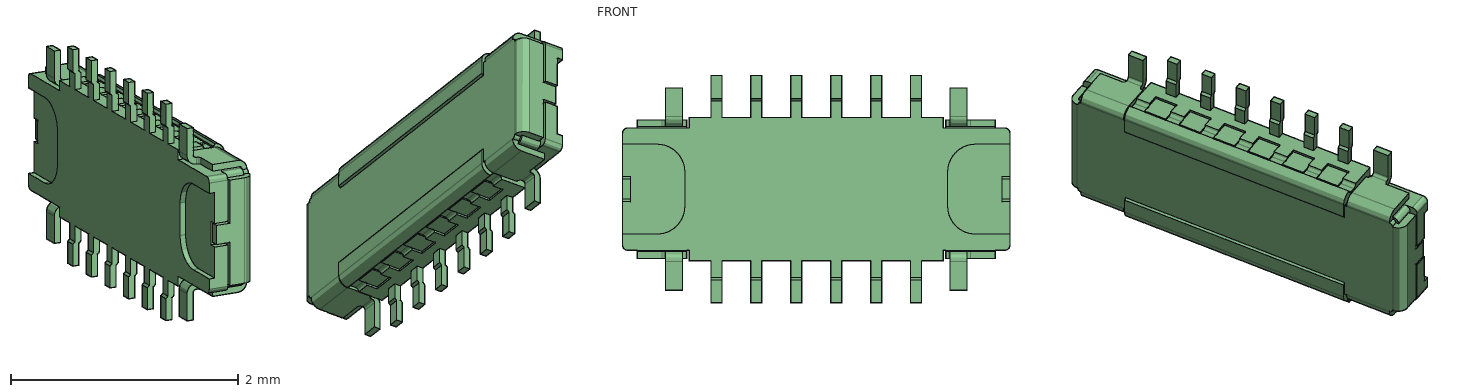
import cadquery as cq


LENGTH = 3.41
HALF_LENGTH = LENGTH / 2
SHELL_BACK = 0.445
HOOK_BACK = 0.46
SHEET = 0.06
BEND_RADIUS = 0.092
FOOT_PROUD = 0.02
FOOT_BACK = SHEET - FOOT_PROUD

HOUSING_HALF_HEIGHT = 0.54
FLANGE_DEPTH = 0.185
FLANGE_CORNER_RADIUS = 0.048
BODY_CORNER_RADIUS = 0.05
END_THICKNESS = 0.07
BODY_HALF_LENGTH = HALF_LENGTH - END_THICKNESS
RECESS_LENGTH = 0.55
RECESS_HALF_HEIGHT = 0.395
RECESS_RADIUS = 0.245
RECESS_DEPTH = 0.055
NOTCH_HALF_HEIGHT = 0.11

END_HALF_HEIGHT = 0.488
END_EDGE = 0.205
TONGUE_HALF_HEIGHT = 0.09
TONGUE_FRONT = 0.07
RELIEF_RADIUS = 0.03

PLATE_OUTER = 1.575
PLATE_INNER = 1.14
PLATE_EDGE = 0.102
PLATE_HALF_HEIGHT = 0.61
HOLD_FOOT_X = 1.25
HOLD_FOOT_WIDTH = 0.15
HOLD_FOOT_TIP = 0.89
FOOT_INNER_BEND = 0.027
NECK_RADIUS = 0.03

BLOCK_HALF_LENGTH = 1.12
BLOCK_HALF_HEIGHT = 0.63
HOOK_TIP = 0.382
GROOVE_HALF_HEIGHT = 0.597
GROOVE_FRONT = 0.25
GROOVE_COVE = 0.035
GROOVE_BACK = 0.348
LIP_BACK = HOOK_BACK - BEND_RADIUS
PAD_HALF_HEIGHT = 0.61
PAD_FRONT = 0.143
PAD_BACK = 0.338
PAD_WIDTH = 0.215

CONTACTS_PER_ROW = 6
PITCH = 0.35
PIN_WIDTH = 0.1
TIP_TO_TIP = 2.0
PIN_TIP = TIP_TO_TIP / 2
PIN_STEP = 0.788
PIN_STEP_RUN = 0.02

CONTACT_XS = [(i - (CONTACTS_PER_ROW - 1) / 2) * PITCH for i in range(CONTACTS_PER_ROW)]


def block(x0, x1, y0, y1, z0, z1):
    """Axis-aligned box between opposite corners."""
    return cq.Workplane("XY").box(x1 - x0, y1 - y0, z1 - z0, centered=False).translate((x0, y0, z0))


def centred_block(half_x, y0, y1, half_z):
    return block(-half_x, half_x, y0, y1, -half_z, half_z)


def yz_profile(x0):
    """Sketch plane at X = x0 whose local axes are Y and Z."""
    return cq.Workplane("YZ", origin=(x0, 0, 0))


def both_sides(solid, plane):
    return solid.union(solid.mirror(plane))


def make_housing():
    flange = centred_block(HALF_LENGTH, 0, FLANGE_DEPTH, HOUSING_HALF_HEIGHT)
    flange = flange.edges("|Y").fillet(FLANGE_CORNER_RADIUS)
    body = centred_block(BODY_HALF_LENGTH, 0, SHELL_BACK - SHEET, HOUSING_HALF_HEIGHT)
    body = body.edges("|Y").fillet(BODY_CORNER_RADIUS)

    recess_end_x = HALF_LENGTH - RECESS_LENGTH
    recess = block(-HALF_LENGTH, -recess_end_x, 0, RECESS_DEPTH, -RECESS_HALF_HEIGHT, RECESS_HALF_HEIGHT)
    recess = recess.edges("|Y and >X").fillet(RECESS_RADIUS)
    notch = block(-HALF_LENGTH, -BODY_HALF_LENGTH, 0, FLANGE_DEPTH, -NOTCH_HALF_HEIGHT, NOTCH_HALF_HEIGHT)
    return flange.union(body).cut(both_sides(recess.union(notch), "YZ"))


def make_shell_back():
    """Back sheet with a bent plate and a locking tongue at each end."""
    sheet = centred_block(HALF_LENGTH, END_EDGE, SHELL_BACK, END_HALF_HEIGHT)
    sheet = sheet.edges("|Z and >Y").fillet(BEND_RADIUS)
    sheet = sheet.cut(centred_block(BODY_HALF_LENGTH, END_EDGE, SHELL_BACK - SHEET, END_HALF_HEIGHT))
    shoulder = centred_block(
        PLATE_OUTER + RELIEF_RADIUS, SHELL_BACK - SHEET, SHELL_BACK, END_HALF_HEIGHT + RELIEF_RADIUS
    )
    shoulder = shoulder.edges("|Y").fillet(RELIEF_RADIUS)
    tongue = block(
        -HALF_LENGTH, -BODY_HALF_LENGTH, TONGUE_FRONT, END_EDGE, -TONGUE_HALF_HEIGHT, TONGUE_HALF_HEIGHT
    )
    return sheet.union(shoulder).union(both_sides(tongue, "YZ"))


def make_hold_downs():
    """Bent side plates, each ending in an outward solder foot."""
    inner = PLATE_HALF_HEIGHT - SHEET
    length = PLATE_OUTER - PLATE_INNER
    bent_strip = (
        yz_profile(-PLATE_OUTER)
        .moveTo(SHELL_BACK, 0)
        .lineTo(SHELL_BACK, PLATE_HALF_HEIGHT - BEND_RADIUS)
        .radiusArc((SHELL_BACK - BEND_RADIUS, PLATE_HALF_HEIGHT), -BEND_RADIUS)
        .lineTo(FOOT_BACK + FOOT_INNER_BEND, PLATE_HALF_HEIGHT)
        .radiusArc((FOOT_BACK, PLATE_HALF_HEIGHT + FOOT_INNER_BEND), FOOT_INNER_BEND)
        .lineTo(FOOT_BACK, HOLD_FOOT_TIP)
        .lineTo(-FOOT_PROUD, HOLD_FOOT_TIP)
        .lineTo(-FOOT_PROUD, PLATE_HALF_HEIGHT + FOOT_INNER_BEND)
        .radiusArc((FOOT_BACK + FOOT_INNER_BEND, inner), -(FOOT_INNER_BEND + SHEET))
        .lineTo(SHELL_BACK - SHEET, inner)
        .lineTo(SHELL_BACK - SHEET, 0)
        .close()
        .extrude(length)
    )
    plate = block(-PLATE_OUTER, -PLATE_INNER, PLATE_EDGE, SHELL_BACK, 0, PLATE_HALF_HEIGHT)
    neck_x = -HOLD_FOOT_X - HOLD_FOOT_WIDTH / 2
    neck = block(neck_x, neck_x + HOLD_FOOT_WIDTH, -FOOT_PROUD, PLATE_EDGE, 0, HOLD_FOOT_TIP)
    outline = plate.union(neck)
    for x in (neck_x, neck_x + HOLD_FOOT_WIDTH):
        corner = cq.selectors.NearestToPointSelector((x, PLATE_EDGE, PLATE_HALF_HEIGHT / 2))
        outline = outline.edges("|Z").edges(corner).fillet(NECK_RADIUS)
    return both_sides(both_sides(bent_strip.intersect(outline), "YZ"), "XY")


def make_contact_block():
    """Central block: hooked back edges and a grooved side with a pad per contact."""
    lip_chamfer = LIP_BACK - GROOVE_BACK
    hook_height = HOOK_BACK - SHELL_BACK
    half_block = (
        yz_profile(-BLOCK_HALF_LENGTH)
        .moveTo(0, 0)
        .lineTo(0, BLOCK_HALF_HEIGHT)
        .lineTo(GROOVE_FRONT, BLOCK_HALF_HEIGHT)
        .radiusArc((GROOVE_FRONT + GROOVE_COVE, GROOVE_HALF_HEIGHT), -GROOVE_COVE)
        .lineTo(GROOVE_BACK, GROOVE_HALF_HEIGHT)
        .lineTo(GROOVE_BACK, BLOCK_HALF_HEIGHT - lip_chamfer)
        .lineTo(LIP_BACK, BLOCK_HALF_HEIGHT)
        .radiusArc((HOOK_BACK, BLOCK_HALF_HEIGHT - BEND_RADIUS), BEND_RADIUS)
        .lineTo(HOOK_BACK, HOOK_TIP + hook_height)
        .lineTo(SHELL_BACK, HOOK_TIP)
        .lineTo(SHELL_BACK, 0)
        .close()
        .extrude(2 * BLOCK_HALF_LENGTH)
    )
    for x in CONTACT_XS:
        x0 = x - PAD_WIDTH / 2
        x1 = x + PAD_WIDTH / 2
        half_block = half_block.cut(block(x0, x1, PAD_FRONT, PAD_BACK, PAD_HALF_HEIGHT, BLOCK_HALF_HEIGHT))
        half_block = half_block.union(block(x0, x1, PAD_FRONT, PAD_BACK, 0, PAD_HALF_HEIGHT))
    return both_sides(half_block, "XY")


def make_pin(x):
    """Signal contact: a straight shank that joggles forward into its solder foot."""
    half_run = PIN_STEP_RUN / 2
    return (
        yz_profile(x - PIN_WIDTH / 2)
        .moveTo(0, 0)
        .lineTo(SHEET, 0)
        .lineTo(SHEET, PIN_STEP - half_run)
        .lineTo(FOOT_BACK, PIN_STEP + half_run)
        .lineTo(FOOT_BACK, PIN_TIP)
        .lineTo(-FOOT_PROUD, PIN_TIP)
        .lineTo(-FOOT_PROUD, PIN_STEP + half_run)
        .lineTo(0, PIN_STEP - half_run)
        .close()
        .extrude(PIN_WIDTH)
    )


result = make_housing().union(make_shell_back()).union(make_contact_block())
for contact_x in CONTACT_XS:
    result = result.union(both_sides(make_pin(contact_x), "XY"))
result = result.union(make_hold_downs())